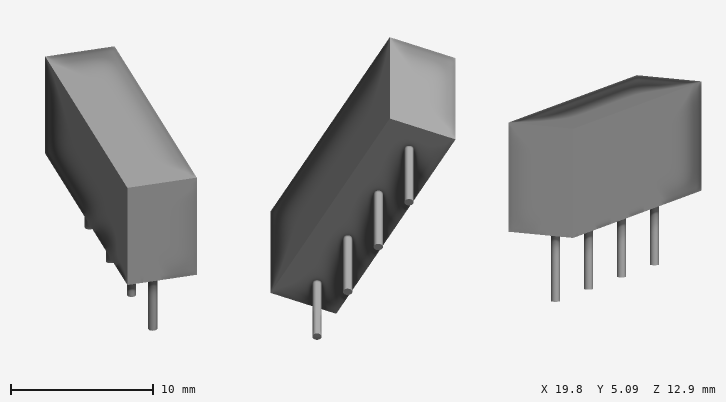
import cadquery as cq

housing_length = 19.8
housing_depth = 5.09
housing_height = 7.8

pin_count = 4
pin_pitch = 5.09
pin_diameter = 0.65
total_height = 12.9
pin_length = total_height - housing_height


def make_housing():
    """Block centred on the Z axis with its underside at Z = 0."""
    return cq.Workplane("XY").box(
        housing_length, housing_depth, housing_height, centered=(True, True, False)
    )


def make_pin(x):
    """Round pin hanging from the housing underside at the given X."""
    return cq.Workplane("XY").center(x, 0).circle(pin_diameter / 2).extrude(-pin_length)


housing = make_housing()

first_pin_x = -pin_pitch * (pin_count - 1) / 2
pins = []
for index in range(pin_count):
    pins.append(make_pin(first_pin_x + index * pin_pitch))

result = cq.Compound.makeCompound([housing.val(), *[pin.val() for pin in pins]])